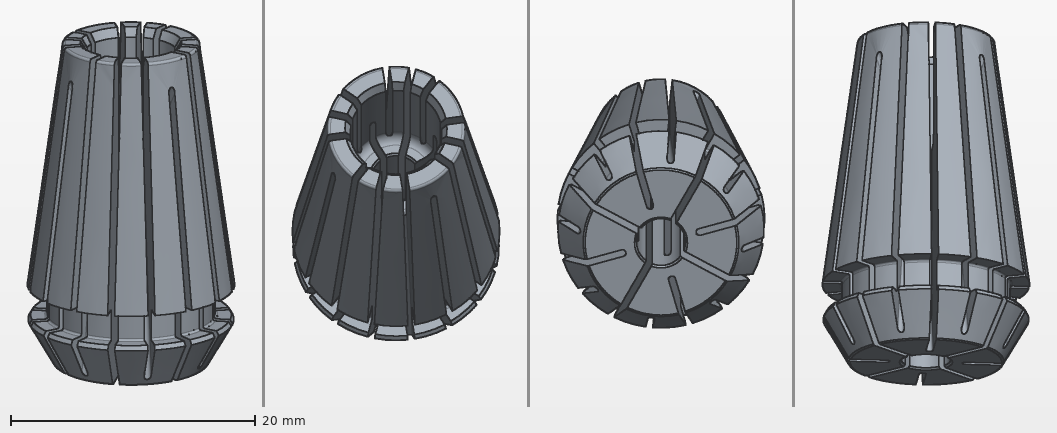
import cadquery as cq
import math

length = 27.5

max_diameter = 17.0
max_radius = max_diameter / 2
taper_base_z = 6.65
taper_top_radius = 5.6
taper_top_fillet = 0.25

nose_bottom_radius = 6.32
nose_edge_chamfer = 0.1
nose_rim_radius = 8.45
nose_rim_z = 3.65
nose_shoulder_radius = 8.22

groove_radius = 6.9
groove_bottom_z = 4.05
groove_fillet = 0.2

clamp_bore_radius = 2.0
clamp_bore_chamfer = 0.16
relief_bore_radius = 3.75
step_z = 17.6
step_fillet = 0.82
mouth_radius = 4.18
mouth_half_angle = math.radians(30)
mouth_depth = (mouth_radius - relief_bore_radius) / math.tan(mouth_half_angle)

slot_width = 0.58
slot_reach = 2 * length

nose_slot_count = 4
nose_slot_lean = 30
nose_slot_end_z = 25.25
nose_slot_end_radius = 5.95

deep_slot_count = 4
deep_slot_lean = 20
deep_slot_end_radius = 3.0

shallow_slot_count = 8
shallow_slot_lean = 10
shallow_slot_end_z = 0.6
shallow_slot_end_radius = 6.65


def turned_body():
    """Outer shape of the collet, revolved about Z."""
    body = (
        cq.Workplane("XZ")
        .lineTo(nose_bottom_radius, 0)
        .lineTo(nose_rim_radius, nose_rim_z)
        .lineTo(nose_shoulder_radius, groove_bottom_z)
        .lineTo(groove_radius, groove_bottom_z)
        .lineTo(groove_radius, taper_base_z)
        .lineTo(max_radius, taper_base_z)
        .lineTo(taper_top_radius, length)
        .lineTo(0, length)
        .close()
        .revolve(360, (0, 0, 0), (0, 1, 0))
    )
    body = body.faces(">Z").edges().fillet(taper_top_fillet)
    body = body.faces("<Z").edges().chamfer(nose_edge_chamfer)
    reach = groove_radius + groove_fillet
    groove_corners = cq.selectors.BoxSelector(
        (-reach, -reach, groove_bottom_z - groove_fillet),
        (reach, reach, taper_base_z + groove_fillet),
        boundingbox=True,
    )
    return body.edges(groove_corners).edges("%CIRCLE").fillet(groove_fillet)


def stepped_bore():
    """Narrow clamping bore, rounded step, wide relief bore and flared mouth."""
    fillet_start = relief_bore_radius - step_fillet
    arc_offset = step_fillet * math.sin(math.radians(45))
    arc_middle = (fillet_start + arc_offset, step_z + step_fillet - arc_offset)
    return (
        cq.Workplane("XZ")
        .lineTo(clamp_bore_radius + clamp_bore_chamfer, 0)
        .lineTo(clamp_bore_radius, clamp_bore_chamfer)
        .lineTo(clamp_bore_radius, step_z - clamp_bore_chamfer)
        .lineTo(clamp_bore_radius + clamp_bore_chamfer, step_z)
        .lineTo(fillet_start, step_z)
        .threePointArc(arc_middle, (relief_bore_radius, step_z + step_fillet))
        .lineTo(relief_bore_radius, length - mouth_depth)
        .lineTo(mouth_radius, length)
        .lineTo(0, length)
        .close()
        .revolve(360, (0, 0, 0), (0, 1, 0))
    )


def slot_cutter(end_radius, end_z, lean, from_top):
    """Radial slot along +X whose round closed end passes through (end_radius, end_z).

    Past the axis it stays inside the matching slot on the opposite side.
    """
    lean_angle = math.radians(lean)
    toward_opening = 1 if from_top else -1
    end_plane = cq.Plane(
        origin=(end_radius, 0, end_z),
        xDir=(0, 1, 0),
        normal=(toward_opening * math.sin(lean_angle), 0, -math.cos(lean_angle)),
    )
    half_width = slot_width / 2
    return (
        cq.Workplane(end_plane)
        .moveTo(-half_width, half_width)
        .threePointArc((0, 0), (half_width, half_width))
        .lineTo(half_width, slot_reach)
        .lineTo(-half_width, slot_reach)
        .close()
        .extrude(slot_reach, both=True)
    )


def cut_slots(body, cutter, count, first_angle):
    """Cut evenly spaced copies of a slot around the axis."""
    for index in range(count):
        angle = first_angle + index * 360 / count
        body = body.cut(cutter.rotate((0, 0, 0), (0, 0, 1), angle))
    return body


nose_slot = slot_cutter(nose_slot_end_radius, nose_slot_end_z, nose_slot_lean, from_top=False)
deep_slot = slot_cutter(deep_slot_end_radius, 0, deep_slot_lean, from_top=True)
shallow_slot = slot_cutter(shallow_slot_end_radius, shallow_slot_end_z, shallow_slot_lean, from_top=True)

result = turned_body().cut(stepped_bore())
result = cut_slots(result, nose_slot, nose_slot_count, 0)
result = cut_slots(result, deep_slot, deep_slot_count, 180 / deep_slot_count)
result = cut_slots(result, shallow_slot, shallow_slot_count, 180 / shallow_slot_count)